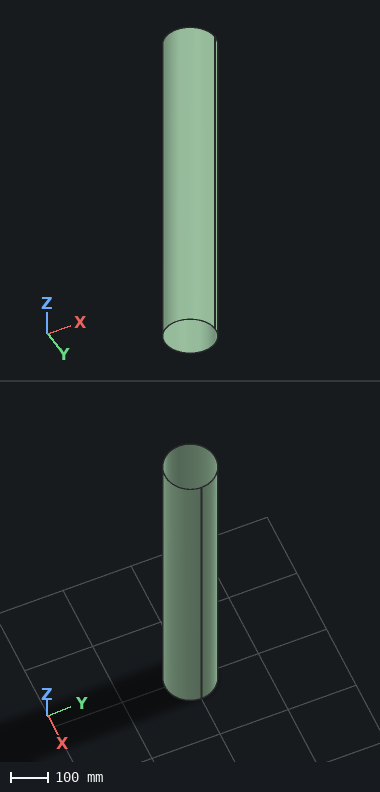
import cadquery as cq

length = 1000.0
inner_diameter = 148.0
wall_thickness = 0.5
seam_height = 1.6
seam_width = 2.0

inner_radius = inner_diameter / 2
outer_radius = inner_radius + wall_thickness

tube = (
    cq.Workplane("XY")
    .circle(outer_radius)
    .circle(inner_radius)
    .extrude(length)
)

seam_root = inner_radius + wall_thickness / 2
seam_depth = outer_radius + seam_height - seam_root
seam = (
    cq.Workplane("XY")
    .center(seam_root + seam_depth / 2, 0)
    .rect(seam_depth, seam_width)
    .extrude(length)
)

result = tube.union(seam)